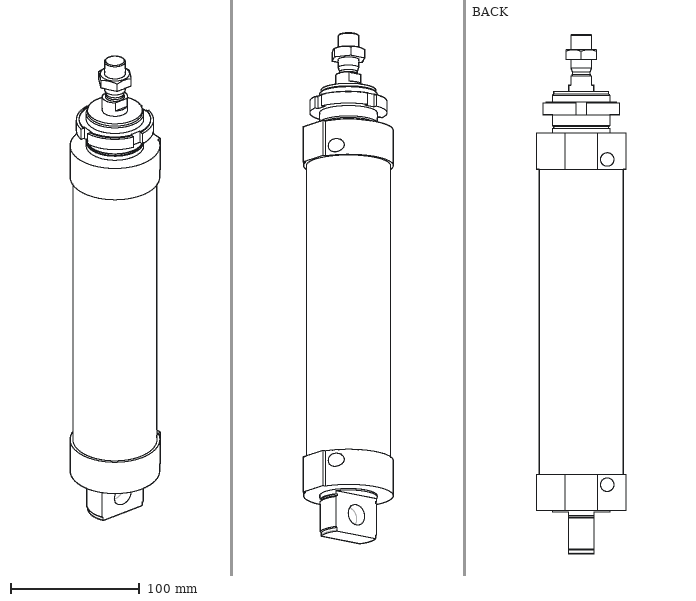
import cadquery as cq
import math

overall_height = 404.0
head_diameter = 70.0
head_height = 28.3
tube_diameter = 65.5
lower_head_bottom = 33.5
upper_head_top = 327.5
upper_head_bottom = upper_head_top - head_height
head_radius = head_diameter / 2

pad_width = 25.0

port_diameter = 10.5
port_x = -20.2
port_depth = 20.2
upper_port_z = 306.8
lower_port_z = 53.8

thread_diameter = 45.0
groove_diameter = 43.0
thread_chamfer = (thread_diameter - groove_diameter) / 2
collar_length = 3.5
groove_length = 1.2
nose_top = 359.7
nose_tip_length = 2.0
tail_tip_length = 3.0
tail_tip_diameter = 43.2
tail_tip_bevel_height = 1.0
tail_thread_chamfer = (thread_diameter - tail_tip_diameter) / 2

tongue_thickness = 20.2
tongue_top = 32.5
pin_hole_diameter = 16.0
pin_hole_z = 16.0

ring_nut_diameter = 60.2
ring_nut_bottom = 341.5
ring_nut_height = 10.0
ring_nut_hub_diameter = 55.8
ring_nut_hub_rise = 1.0
ring_slot_width = 8.5
ring_slot_floor_radius = 26.5

rod_diameter = 20.0
rod_shoulder_z = 372.0
rod_flat_width = 16.0
rod_flat_bottom = 364.5
rod_neck_diameter = 13.7
rod_thread_bottom = 378.0
rod_neck_taper_length = 3.2
rod_flare_diameter = 15.0
rod_flare_height = 1.2
rod_thread_diameter = 16.0
rod_tip_diameter = 14.5
rod_tip_chamfer = (rod_thread_diameter - rod_tip_diameter) / 2

rod_nut_flats = 24.0
rod_nut_bottom = 384.5
rod_nut_height = 8.0
rod_nut_face_diameter = 22.5
rod_nut_chamfer_angle = 30.0


def cylinder(diameter, bottom, top):
    """Round bar on the Z axis between two heights."""
    return cq.Workplane("XY").workplane(offset=bottom).circle(diameter / 2).extrude(top - bottom)


def turned(points):
    """Solid of revolution about Z from (radius, height) points."""
    return cq.Workplane("XZ").polyline(points).close().revolve(360, (0, 0, 0), (0, 1, 0))


def head(bottom):
    """Round end head with a flat port pad on its +Y side."""
    body = cylinder(head_diameter, bottom, bottom + head_height)
    pad = cq.Workplane("XY").box(
        pad_width, head_radius, head_height, centered=(True, False, False)
    ).translate((0, 0, bottom))
    return body.union(pad)


def port(height):
    """Port drill parallel to Y, entering from the +Y side."""
    return (
        cq.Workplane("XZ", origin=(port_x, head_radius, height))
        .circle(port_diameter / 2)
        .extrude(port_depth)
    )


def stub_root(root, outward):
    """Profile points from a head face to the thread: plain collar, groove, thread chamfer."""
    groove_start = root + outward * collar_length
    groove_end = groove_start + outward * groove_length
    return [
        (0, root),
        (thread_diameter / 2, root),
        (thread_diameter / 2, groove_start),
        (groove_diameter / 2, groove_start),
        (groove_diameter / 2, groove_end),
        (thread_diameter / 2, groove_end + outward * thread_chamfer),
    ]


def make_nose():
    """Threaded nose pointing up, with a reduced tip."""
    thread_end = nose_top - nose_tip_length
    return turned(stub_root(upper_head_top, 1) + [
        (thread_diameter / 2, thread_end - thread_chamfer),
        (groove_diameter / 2, thread_end),
        (groove_diameter / 2, nose_top),
        (0, nose_top),
    ])


def make_tail():
    """Threaded tail pointing down, cut to a flat clevis tongue with a pin hole along X."""
    stub = turned(stub_root(lower_head_bottom, -1) + [
        (thread_diameter / 2, tail_tip_length + tail_thread_chamfer),
        (tail_tip_diameter / 2, tail_tip_length),
        (tail_tip_diameter / 2, tail_tip_bevel_height),
        (groove_diameter / 2, 0),
        (0, 0),
    ])
    tongue = cq.Workplane("XY").box(
        tongue_thickness, head_diameter, tongue_top, centered=(True, True, False)
    )
    collar = cylinder(head_diameter, tongue_top, lower_head_bottom)
    pin_hole = (
        cq.Workplane("YZ")
        .center(0, pin_hole_z)
        .circle(pin_hole_diameter / 2)
        .extrude(tongue_thickness, both=True)
    )
    return stub.intersect(tongue.union(collar)).cut(pin_hole)


def make_housing():
    tube = cylinder(tube_diameter, lower_head_bottom, upper_head_top)
    housing = tube.union(head(lower_head_bottom)).union(head(upper_head_bottom))
    housing = housing.union(make_nose()).union(make_tail())
    for height in (lower_port_z, upper_port_z):
        housing = housing.cut(port(height))
    return housing


def make_ring_nut():
    """Round mounting nut with four spanner slots and a slightly raised hub face."""
    inner = thread_diameter / 2
    outer = ring_nut_diameter / 2
    top = ring_nut_bottom + ring_nut_height
    nut = turned([
        (inner, ring_nut_bottom),
        (outer, ring_nut_bottom),
        (outer, top - ring_nut_hub_rise),
        (ring_nut_hub_diameter / 2, top - ring_nut_hub_rise),
        (ring_nut_hub_diameter / 2, top),
        (inner, top),
    ])
    slot = cq.Workplane("XY").box(
        ring_nut_diameter, ring_slot_width, ring_nut_height, centered=(False, True, False)
    ).translate((ring_slot_floor_radius, 0, ring_nut_bottom))
    for quarter in range(4):
        nut = nut.cut(slot.rotate((0, 0, 0), (0, 0, 1), 90 * quarter))
    return nut


def make_rod():
    """Piston rod standing on the nose, with wrench flats, a neck and a threaded end."""
    thread_radius = rod_thread_diameter / 2
    neck_radius = rod_neck_diameter / 2
    rod = turned([
        (0, nose_top),
        (rod_diameter / 2, nose_top),
        (rod_diameter / 2, rod_shoulder_z),
        (rod_flare_diameter / 2, rod_shoulder_z),
        (neck_radius, rod_shoulder_z + rod_flare_height),
        (neck_radius, rod_thread_bottom - rod_neck_taper_length),
        (thread_radius, rod_thread_bottom),
        (thread_radius, overall_height - rod_tip_chamfer),
        (rod_tip_diameter / 2, overall_height),
        (0, overall_height),
    ])
    flat_height = rod_shoulder_z - rod_flat_bottom
    for side in (-1, 1):
        flat = cq.Workplane("XY").box(
            rod_flat_width, rod_diameter, flat_height, centered=(True, True, False)
        ).translate((side * rod_flat_width, 0, rod_flat_bottom))
        rod = rod.cut(flat)
    return rod


def make_rod_nut():
    """Hexagon nut with flats facing X and a chamfered upper face."""
    corner_radius = rod_nut_flats / 2 / math.cos(math.pi / 6)
    top = rod_nut_bottom + rod_nut_height
    chamfer_radius = rod_nut_face_diameter / 2
    chamfer_height = (corner_radius - chamfer_radius) * math.tan(math.radians(rod_nut_chamfer_angle))
    hexagon = (
        cq.Workplane("XY")
        .polygon(6, 2 * corner_radius)
        .extrude(rod_nut_height)
        .rotate((0, 0, 0), (0, 0, 1), 90)
        .translate((0, 0, rod_nut_bottom))
    )
    chamfered_bar = turned([
        (rod_thread_diameter / 2, rod_nut_bottom),
        (corner_radius, rod_nut_bottom),
        (corner_radius, top - chamfer_height),
        (chamfer_radius, top),
        (rod_thread_diameter / 2, top),
    ])
    return hexagon.intersect(chamfered_bar)


housing = make_housing()
ring_nut = make_ring_nut()
rod = make_rod()
rod_nut = make_rod_nut()

result = cq.Compound.makeCompound([housing.val(), ring_nut.val(), rod.val(), rod_nut.val()])